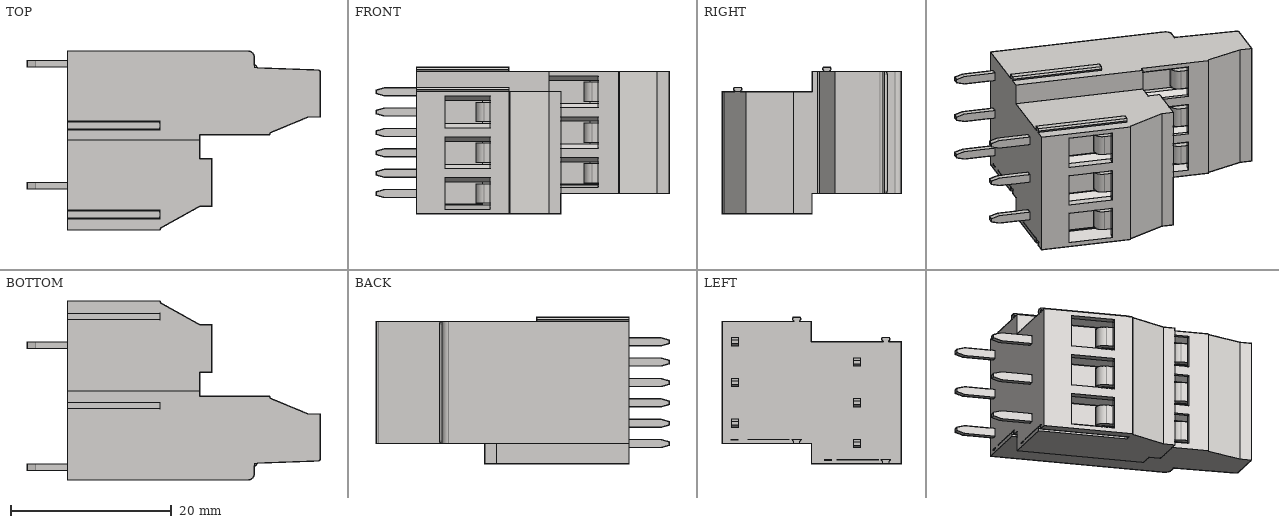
import cadquery as cq


poles = 3
pitch = 5.07
row_height = poles * pitch
row_drop = 2.52

row_depth = 11.1
front_row_depth = 11.2
neck_x = 16.5
rear_length = 31.5
rear_recess = 0.65
rear_slope_start = 25.2
rear_slope_end = 29.95
rear_nose_y = 2.85
slope_step_x = 0.1
slope_step_y = 0.25
shoulder_x = 23.3
shoulder_y = 9.0
shoulder_radius = 0.8
arm_end_y = 8.72
arm_end_radius = 0.3
front_length = 18.0
front_neck_y = -2.3
front_nose_y = -8.25
front_slope_start = 11.55
front_slope_end = 16.5

pin_length = 5.0
pin_width = 0.85
pin_height = 1.02
pin_tip_length = 1.02
pin_tip_height = 0.45
rear_pin_y = 9.5
front_pin_y = -5.7

rail_length = 11.55
rail_height = 0.55
rail_from_back = 9.27
ridge_neck = 0.65
ridge_width = 1.1
ridge_top = 0.88
groove_neck = 0.75
groove_width = 1.2

slit_depth = 0.2
short_slit_height = 0.1
short_slit_width = 0.88
long_slit_height = 0.05
long_slit_width = 5.15
long_slit_from_back = 5.75
rear_short_slit_from_back = 1.55
front_short_slit_from_back = 2.08

entry_height = 3.95
throat_height = 2.85
lowest_throat_drop = 1.3
front_lowest_sill_drop = 1.97
rear_lowest_sill_drop = 1.8
frame_depth = 0.62
front_ledge_depth = 1.2
front_funnel_depth = 2.2
front_entry_depth = 2.37
front_clamp_depth = 1.0
rear_ledge_depth = 0.55
rear_funnel_depth = 1.35
rear_entry_depth = 2.15
rear_clamp_depth = 0.75
cavity_widening = 0.73
front_entry_left = 3.58
front_entry_right = 9.2
rear_entry_right = 22.63
clamp_height = 2.4
clamp_radius = 1.0
clamp_flat = 0.75
clamp_root_offset = 1.0

bead_radius = 0.33


def box(x_range, y_range, z_range):
    """Box between two limits along each axis."""
    limits = (x_range, y_range, z_range)
    size = [high - low for low, high in limits]
    corner = [low for low, high in limits]
    return cq.Workplane("XY").box(*size, centered=False).translate(tuple(corner))


def pole_heights(base_z):
    """Z of the middle of every pole of a row."""
    return [base_z + (i + 0.5) * pitch for i in range(poles)]


def rear_outline():
    block = (
        cq.Workplane("XY")
        .moveTo(0, 0)
        .lineTo(neck_x, 0)
        .lineTo(neck_x, rear_recess)
        .lineTo(rear_slope_start, rear_recess)
        .lineTo(rear_slope_start + slope_step_x, rear_recess + slope_step_y)
        .lineTo(rear_slope_end, rear_nose_y)
        .lineTo(rear_length, rear_nose_y)
        .lineTo(rear_length, arm_end_y)
        .lineTo(shoulder_x, shoulder_y)
        .lineTo(shoulder_x, row_depth)
        .lineTo(0, row_depth)
        .close()
        .extrude(row_height)
    )
    shoulder_edge = cq.selectors.NearestToPointSelector((shoulder_x, row_depth, row_height / 2))
    arm_edge = cq.selectors.NearestToPointSelector((rear_length, arm_end_y, row_height / 2))
    return block.edges(shoulder_edge).fillet(shoulder_radius).edges(arm_edge).fillet(arm_end_radius)


def front_outline():
    return (
        cq.Workplane("XY", origin=(0, 0, -row_drop))
        .moveTo(0, 0)
        .lineTo(neck_x, 0)
        .lineTo(neck_x, front_neck_y)
        .lineTo(front_length, front_neck_y)
        .lineTo(front_length, front_nose_y)
        .lineTo(front_slope_end, front_nose_y)
        .lineTo(front_slope_start + slope_step_x, slope_step_y - front_row_depth)
        .lineTo(front_slope_start, -front_row_depth)
        .lineTo(0, -front_row_depth)
        .close()
        .extrude(row_height)
    )


def ridge(y, z):
    """Dovetail ridge standing on height z, with its widest place halfway up."""
    half_profile = [(ridge_neck / 2, 0), (ridge_width / 2, rail_height / 2), (ridge_top / 2, rail_height)]
    left_side = [(-across, up) for across, up in reversed(half_profile)]
    return (
        cq.Workplane("YZ", origin=(0, y, z))
        .polyline(half_profile + left_side)
        .close()
        .extrude(rail_length)
    )


def groove(y, z):
    """Cutter for a dovetail groove that opens downwards at height z."""
    half_profile = [
        (groove_neck / 2, 0),
        (groove_neck / 2, rail_height / 2),
        (groove_width / 2, rail_height),
    ]
    left_side = [(-across, up) for across, up in reversed(half_profile)]
    return (
        cq.Workplane("YZ", origin=(0, y, z))
        .polyline(half_profile + left_side)
        .close()
        .extrude(rail_length)
    )


def slit(y, width, height, base_z):
    """Cutter for a thin slit in the pin face, below the height of the groove roof."""
    top = base_z + rail_height
    return box((0, slit_depth), (y - width / 2, y + width / 2), (top - height, top))


def pin(y, z):
    """Flat pin whose tip narrows in Z."""
    half_profile = [
        (0, pin_height / 2),
        (pin_tip_length - pin_length, pin_height / 2),
        (-pin_length, pin_tip_height / 2),
    ]
    lower_side = [(x, -up) for x, up in reversed(half_profile)]
    return (
        cq.Workplane("XZ", origin=(0, y + pin_width / 2, z))
        .polyline(half_profile + lower_side)
        .close()
        .extrude(pin_width)
    )


def entry_floor(depths, is_lowest, lowest_sill_drop):
    """Floor of a wire entry as (depth, height) points; the lowest pole slopes from its sill to a lip."""
    ledge_depth, funnel_depth, entry_depth = depths
    mouth = entry_height / 2
    throat = throat_height / 2
    if is_lowest:
        return [
            (0, -lowest_sill_drop),
            (funnel_depth, -throat),
            (funnel_depth, -lowest_throat_drop),
            (entry_depth, -lowest_throat_drop),
        ]
    return [(0, -mouth), (ledge_depth, -mouth), (funnel_depth, -throat), (entry_depth, -throat)]


def entry_cavity(left, right, face_y, z, depths, floor):
    """Cutter for one wire entry with the given floor, wider in X behind its frame."""
    ledge_depth, funnel_depth, entry_depth = depths
    mouth = entry_height / 2
    throat = throat_height / 2
    ceiling = [(entry_depth, throat), (funnel_depth, throat), (ledge_depth, mouth), (0, mouth)]
    cavity = (
        cq.Workplane("YZ", origin=(left, face_y, z))
        .polyline(floor + ceiling)
        .close()
        .extrude(right + cavity_widening - left)
    )
    frame = box(
        (right, right + cavity_widening),
        (face_y, face_y + frame_depth),
        (z - mouth, z + mouth),
    )
    return cavity.cut(frame)


def clamp(right, front, back, z):
    """Clamp in an entry: a flat face with a rounded left edge, and a taller root behind it."""
    end = right + cavity_widening
    tangent_x = right - clamp_flat
    jaw = (
        cq.Workplane("XY", origin=(0, 0, z - clamp_height / 2))
        .moveTo(tangent_x, front)
        .radiusArc((tangent_x - clamp_radius, front + clamp_radius), clamp_radius)
        .lineTo(tangent_x - clamp_radius, back)
        .lineTo(end, back)
        .lineTo(end, front)
        .close()
        .extrude(clamp_height)
    )
    root = box(
        (right - clamp_root_offset, end),
        (front + clamp_radius, back),
        (z - throat_height / 2, z + throat_height / 2),
    )
    return jaw.union(root)


def add_rails_and_slits(block, back_y, base_z, short_slit_from_back):
    rail_y = back_y - rail_from_back
    block = block.union(ridge(rail_y, base_z + row_height))
    block = block.cut(groove(rail_y, base_z))
    block = block.cut(slit(back_y - long_slit_from_back, long_slit_width, long_slit_height, base_z))
    return block.cut(
        slit(back_y - short_slit_from_back, short_slit_width, short_slit_height, base_z)
    )


def add_entries(block, face_y, base_z, left, right, depths, clamp_depth, lowest_sill_drop):
    """Cut the wire entries of one row and add the clamps in them."""
    for i, z in enumerate(pole_heights(base_z)):
        floor = entry_floor(depths, i == 0, lowest_sill_drop)
        block = block.cut(entry_cavity(left, right, face_y, z, depths, floor))
        block = block.union(clamp(right, face_y + clamp_depth, face_y + depths[-1], z))
    return block


def add_pins(block, y, base_z):
    for z in pole_heights(base_z):
        block = block.union(pin(y, z))
    return block


def make_housing():
    """Both rows in one piece, with their clamps and pins."""
    body = rear_outline().union(front_outline())
    body = add_rails_and_slits(body, row_depth, 0, rear_short_slit_from_back)
    body = add_rails_and_slits(body, 0, -row_drop, front_short_slit_from_back)
    body = add_entries(
        body, rear_recess, 0, neck_x, rear_entry_right,
        (rear_ledge_depth, rear_funnel_depth, rear_entry_depth),
        rear_clamp_depth, rear_lowest_sill_drop,
    )
    body = add_entries(
        body, -front_row_depth, -row_drop, front_entry_left, front_entry_right,
        (front_ledge_depth, front_funnel_depth, front_entry_depth),
        front_clamp_depth, front_lowest_sill_drop,
    )
    body = add_pins(body, rear_pin_y, 0)
    return add_pins(body, front_pin_y, -row_drop)


def make_bead_rod(body):
    """Upright rod with round ends, trimmed to fit the corner behind the shoulder of the body."""
    straight = row_height - 2 * bead_radius
    rod = (
        cq.Workplane("XZ", origin=(shoulder_x, shoulder_y, 0))
        .moveTo(0, 0)
        .radiusArc((bead_radius, bead_radius), -bead_radius)
        .line(0, straight)
        .radiusArc((0, row_height), -bead_radius)
        .close()
        .revolve(360, (0, 0, 0), (0, 1, 0))
    )
    return rod.cut(body)


housing = make_housing()
bead_rod = make_bead_rod(housing)

result = cq.Compound.makeCompound([housing.val(), bead_rod.val()])